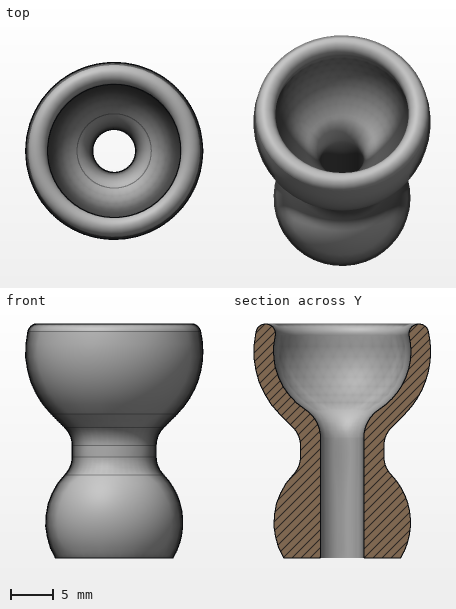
import cadquery as cq
import math

total_height = 27.33
ball_radius = 8.0
ball_center_z = 4.15
neck_radius = 4.9
neck_fillet = 3.0
bore_radius = 2.5
cup_outer_radius = 20.7 / 2
cup_inner_radius = 8.0
cup_center_z = 24.1
cup_cone_angle = math.radians(45)
bore_mouth_fillet = 4.0


def on_circle(center, radius, angle):
    """Point (r, z) on a circle, with the angle measured from the outward radial direction."""
    return (center[0] + radius * math.cos(angle), center[1] + radius * math.sin(angle))


def arc(profile, center, radius, start_angle, end_angle):
    """Extend the profile along an arc that begins at its current point."""
    middle = on_circle(center, radius, (start_angle + end_angle) / 2)
    return profile.threePointArc(middle, on_circle(center, radius, end_angle))


ball_center = (0, ball_center_z)
ball_bottom_angle = -math.asin(ball_center_z / ball_radius)
ball_bottom_radius = ball_radius * math.cos(ball_bottom_angle)
fillet_center_radius = neck_radius + neck_fillet
ball_top_angle = math.acos(fillet_center_radius / (ball_radius + neck_fillet))
lower_fillet_center = on_circle(ball_center, ball_radius + neck_fillet, ball_top_angle)

cup_center = (0, cup_center_z)
cone_normal_angle = -cup_cone_angle
cone_top = on_circle(cup_center, cup_outer_radius, cone_normal_angle)
cone_bottom_radius = fillet_center_radius - neck_fillet * math.cos(cup_cone_angle)
cone_bottom_z = cone_top[1] - (cone_top[0] - cone_bottom_radius) * math.tan(cup_cone_angle)
upper_fillet_center = (fillet_center_radius, cone_bottom_z - neck_fillet * math.sin(cup_cone_angle))

rim_radius = (cup_outer_radius - cup_inner_radius) / 2
cup_middle_radius = (cup_outer_radius + cup_inner_radius) / 2
rim_angle = math.asin((total_height - rim_radius - cup_center_z) / cup_middle_radius)
rim_center = on_circle(cup_center, cup_middle_radius, rim_angle)

mouth_center_radius = bore_radius + bore_mouth_fillet
mouth_center_distance = cup_inner_radius + bore_mouth_fillet
mouth_angle = -math.acos(mouth_center_radius / mouth_center_distance)
mouth_center = on_circle(cup_center, mouth_center_distance, mouth_angle)


def half_section():
    """Closed wall section in the XZ plane, from the bottom of the bore outward and up."""
    section = cq.Workplane("XZ").moveTo(bore_radius, 0).lineTo(ball_bottom_radius, 0)
    section = arc(section, ball_center, ball_radius, ball_bottom_angle, ball_top_angle)
    section = arc(section, lower_fillet_center, neck_fillet, math.pi + ball_top_angle, math.pi)
    section = section.lineTo(neck_radius, upper_fillet_center[1])
    section = arc(section, upper_fillet_center, neck_fillet, math.pi, math.pi + cone_normal_angle)
    section = section.lineTo(*cone_top)
    section = arc(section, cup_center, cup_outer_radius, cone_normal_angle, rim_angle)
    section = arc(section, rim_center, rim_radius, rim_angle, rim_angle + math.pi)
    section = arc(section, cup_center, cup_inner_radius, rim_angle, mouth_angle)
    section = arc(section, mouth_center, bore_mouth_fillet, mouth_angle + math.pi, math.pi)
    return section.close()


result = half_section().revolve(360, (0, 0, 0), (0, 1, 0))